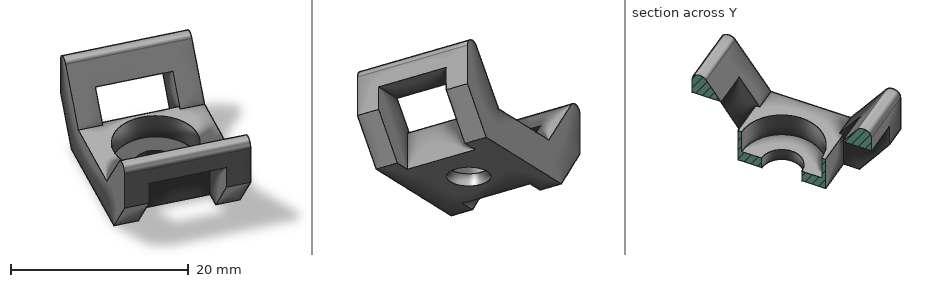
import cadquery as cq
import math

length = 22.5
width = 15.0
height = 11.0

base_length = 15.0
floor_length = 10.0
floor_height = 4.5
shoulder_height = 5.22
lip_radius = 1.0

slot_width = 9.2
slot_top = 8.0
core_length = 10.98

screw_diameter = 5.0
head_diameter = 10.0
head_depth = 3.0


def cradle():
    """Trough with sloped walls ending in rounded lips."""
    lip_x = length / 2 - lip_radius
    lip_z = height - lip_radius
    run = lip_x - floor_length / 2
    rise = lip_z - floor_height
    slope = math.atan2(rise, run) + math.asin(lip_radius / math.hypot(run, rise))

    def lip_point(angle):
        return (lip_x + lip_radius * math.cos(angle), lip_z + lip_radius * math.sin(angle))

    def mirrored(point):
        return (-point[0], point[1])

    outer = lip_point(0)
    inner = lip_point(slope + math.pi / 2)
    crest = lip_point(math.pi / 2)
    profile = (
        cq.Workplane("XZ")
        .moveTo(-base_length / 2, 0)
        .lineTo(base_length / 2, 0)
        .lineTo(length / 2, shoulder_height)
        .lineTo(*outer)
        .threePointArc(crest, inner)
        .lineTo(floor_length / 2, floor_height)
        .lineTo(-floor_length / 2, floor_height)
        .lineTo(*mirrored(inner))
        .threePointArc(mirrored(crest), mirrored(outer))
        .lineTo(-length / 2, shoulder_height)
        .close()
    )
    return profile.extrude(width / 2, both=True)


def strap_slot(side):
    """Stepped cutter: open below outside the core, level with the floor above it."""
    steps = [
        (side * core_length / 2, 0),
        (side * length / 2, 0),
        (side * length / 2, slot_top),
        (side * floor_length / 2, slot_top),
        (side * floor_length / 2, floor_height),
        (side * core_length / 2, floor_height),
    ]
    return cq.Workplane("XZ").polyline(steps).close().extrude(slot_width / 2, both=True)


result = cradle()
for side in (-1, 1):
    result = result.cut(strap_slot(side))

result = (
    result.cut(cq.Workplane("XY").circle(screw_diameter / 2).extrude(floor_height))
    .cut(
        cq.Workplane("XY")
        .workplane(offset=floor_height - head_depth)
        .circle(head_diameter / 2)
        .extrude(head_depth)
    )
)